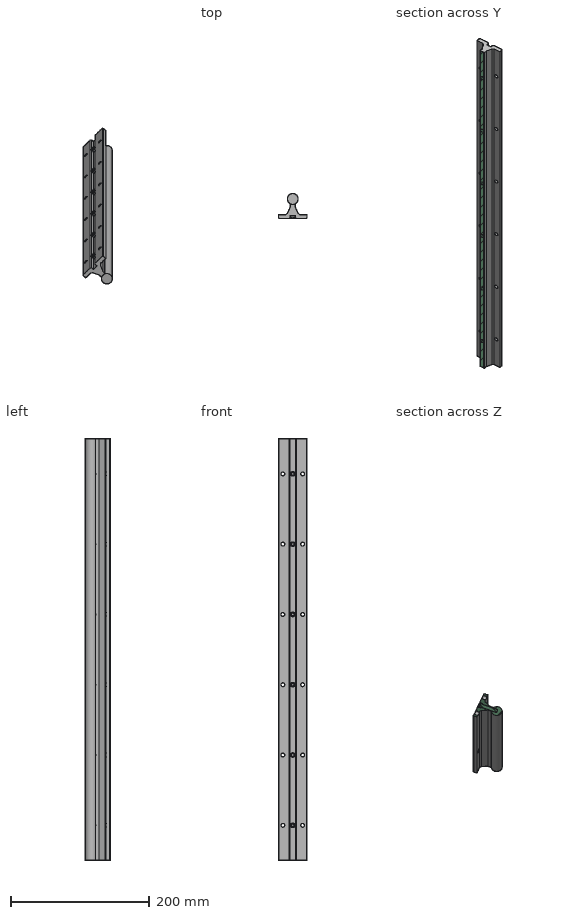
import cadquery as cq

length = 609.5
base_width = 41.5
total_height = 36.5

shaft_radius = 8.0
shaft_y = total_height - shaft_radius

base_thickness = 6.0
base_chamfer_width = 0.9
base_chamfer_height = 1.5

web_half_width = 3.95
web_top_y = 21.5
flare_start_y = 16.5
flare_end_y = 8.0
flare_end_half_width = 8.0
web_foot_half_width = 10.5

groove_depth = 5.0
groove_half_width = 3.5
groove_mouth_half_width = 5.2
groove_chamfer_height = 1.0

row_count = 6
row_pitch = length / row_count
row_heights = [row_pitch * (row + 0.5) for row in range(row_count)]

mount_hole_spacing = 28.5
mount_hole_diameter = 5.2

head_diameter = 7.0
head_height = groove_depth
socket_size = 3.5
socket_depth = 2.5
shank_diameter = 4.0
shank_length = shaft_y - groove_depth


def cylinder_along_y(x, y, z, diameter, height):
    """Cylinder that starts at (x, y, z) and runs toward +Y."""
    solid = cq.Solid.makeCylinder(diameter / 2, height, cq.Vector(x, y, z), cq.Vector(0, 1, 0))
    return cq.Workplane(solid)


def make_screw_blank(z):
    """Screw without its socket: head against the groove roof, shank ending at the shaft axis."""
    head = cylinder_along_y(0, groove_depth - head_height, z, head_diameter, head_height)
    shank = cylinder_along_y(0, groove_depth, z, shank_diameter, shank_length)
    return head.union(shank)


def make_screw(z):
    """Cap screw with a hexagon socket in its head."""
    socket = (
        cq.Workplane("XZ", origin=(0, groove_depth - head_height, z))
        .polygon(6, socket_size, circumscribed=True)
        .extrude(-socket_depth)
    )
    return make_screw_blank(z).cut(socket)


def make_shaft_blank():
    """Plain round shaft."""
    return cq.Workplane("XY").center(0, shaft_y).circle(shaft_radius).extrude(length)


def make_rail_blank():
    """Extruded base and web with the groove underneath, before the shaft seat and holes."""
    half_base = base_width / 2
    right_side = [
        (groove_half_width, groove_depth),
        (groove_half_width, groove_chamfer_height),
        (groove_mouth_half_width, 0),
        (half_base - base_chamfer_width, 0),
        (half_base, base_chamfer_height),
        (half_base, base_thickness),
        (web_foot_half_width, base_thickness),
        (flare_end_half_width, flare_end_y),
        (web_half_width, flare_start_y),
        (web_half_width, web_top_y),
    ]
    left_side = [(-x, y) for x, y in reversed(right_side)]
    return cq.Workplane("XY").polyline(right_side + left_side).close().extrude(length)


def make_shaft():
    """Shaft with a blind hole for each screw."""
    shaft = make_shaft_blank()
    for z in row_heights:
        shaft = shaft.cut(make_screw_blank(z))
    return shaft


def make_rail():
    """Support rail with a round seat for the shaft, screw holes and mounting holes."""
    rail = make_rail_blank().cut(make_shaft_blank())
    for z in row_heights:
        rail = rail.cut(make_screw_blank(z))
        for side in (-1, 1):
            x = side * mount_hole_spacing / 2
            rail = rail.cut(cylinder_along_y(x, 0, z, mount_hole_diameter, base_thickness))
    return rail


shaft = make_shaft()
rail = make_rail()
screws = [make_screw(z) for z in row_heights]

result = cq.Compound.makeCompound([shaft.val(), rail.val(), *[screw.val() for screw in screws]])